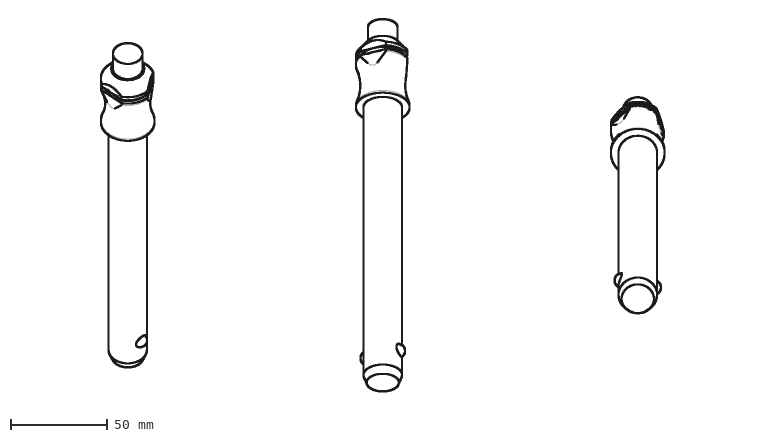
import cadquery as cq

total_length = 220.5

shank_radius = 20.0 / 2
tip_radius = 8.4
tip_height = 4.6

grip_radius = 28.0 / 2
waist_radius = 11.7
grip_bottom_z = 170.7
grip_top_z = 197.8
grip_rim_height = 1.3

neck_radius = 12.1
cap_bottom_z = 200.3
cap_rim_height = 2.2
cap_top_radius = 8.5

button_radius = 7.7
button_height = 11.0

flat_count = 3
flat_distance = 12.1

ball_radius = 3.7
ball_reach = 12.4
ball_z = 17.5


def make_body():
    """Revolve the half outline of the shank, grip, cap and button."""
    waist_bottom_z = grip_bottom_z + grip_rim_height
    waist_top_z = grip_top_z - grip_rim_height
    waist_middle_z = (waist_bottom_z + waist_top_z) / 2
    cap_top_z = total_length - button_height
    return (
        cq.Workplane("XZ")
        .moveTo(0, 0)
        .lineTo(tip_radius, 0)
        .lineTo(shank_radius, tip_height)
        .lineTo(shank_radius, grip_bottom_z)
        .lineTo(grip_radius, grip_bottom_z)
        .lineTo(grip_radius, waist_bottom_z)
        .threePointArc((waist_radius, waist_middle_z), (grip_radius, waist_top_z))
        .lineTo(grip_radius, grip_top_z)
        .lineTo(neck_radius, grip_top_z)
        .lineTo(neck_radius, cap_bottom_z)
        .lineTo(grip_radius, cap_bottom_z)
        .lineTo(grip_radius, cap_bottom_z + cap_rim_height)
        .lineTo(cap_top_radius, cap_top_z)
        .lineTo(button_radius, cap_top_z)
        .lineTo(button_radius, total_length)
        .lineTo(0, total_length)
        .close()
        .revolve(360, (0, 0, 0), (0, 1, 0))
    )


def cut_flats(body):
    """Cut equally spaced flats, the first facing -Y, above the middle of the grip."""
    flat_bottom_z = (grip_bottom_z + grip_top_z) / 2
    cutter = (
        cq.Workplane("XY", origin=(0, 0, flat_bottom_z))
        .center(0, -(flat_distance + grip_radius / 2))
        .rect(2 * grip_radius, grip_radius)
        .extrude(total_length - flat_bottom_z)
    )
    for index in range(flat_count):
        angle = index * 360 / flat_count
        body = body.cut(cutter.rotate((0, 0, 0), (0, 0, 1), angle))
    return body


def add_balls(body):
    """Add the two balls that stick out on opposite sides of the shank along X."""
    for side in (-1, 1):
        center_x = side * (ball_reach - ball_radius)
        ball = cq.Workplane("XY").sphere(ball_radius).translate((center_x, 0, ball_z))
        body = body.union(ball)
    return body


result = add_balls(cut_flats(make_body()))